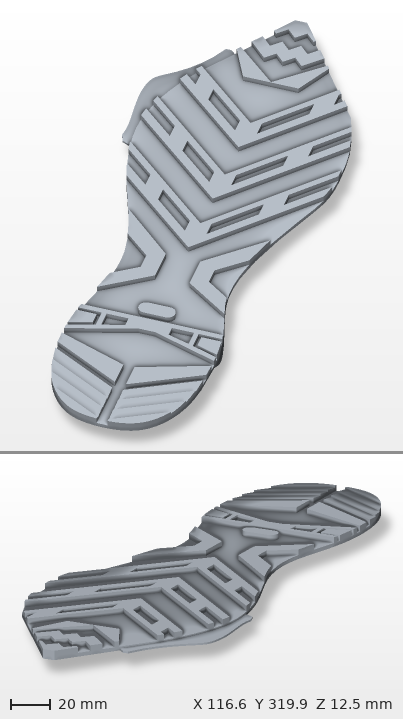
import cadquery as cq
import math


length = 319.94
total_height = 12.54
base_height = 2.0
tread_height = 3.0
top_height = base_height + tread_height
flange_height = 1.0
fin_depth = total_height - top_height

toe_half_width = 3.2
right_edge = [
    (45.8, 261.5), (51.3, 246.2), (54.1, 233.0), (54.95, 220.0), (54.2, 203.0), (46.8, 180.7),
    (35.7, 150.5), (30.1, 125.0), (30.5, 108.0), (35.0, 91.0), (38.8, 75.0), (39.6, 55.0),
    (37.9, 36.0), (32.5, 19.0), (19.0, 3.9),
]
heel_end = (0.0, 0.0)
left_edge = [
    (-18.5, 3.9), (-32.3, 18.5), (-38.4, 36.0), (-40.3, 58.0), (-38.0, 80.0), (-32.5, 103.0),
    (-30.4, 120.0), (-34.0, 145.0), (-43.5, 171.0), (-53.8, 208.0), (-54.8, 222.0),
    (-51.0, 243.0), (-44.2, 260.0), (-37.5, 271.5),
]

left_slope = 0.9
right_slope = 1.105
chevron_width = 19.4
chevron_apexes = [238.5, 197.1, 158.0]
window_start = 4.9
window_width = 8.1
window_inner_x = 5.6
window_outer_x = 26.0
side_window_x = 35.7

zigzag_centre_x = 0.8
zigzag_half_pitch = 5.0
zigzag_rise = 5.0
tip_edge_y = 307.2
bar_top_y = 297.4
bar_bottom_y = 287.8
toe_block_bottom = 271.0
toe_block_half_bottom = 14.8
toe_block_half_top = 24.6
toe_block_shoulder = 290.2
toe_notch_bottom = 271.3
toe_notch_slope = 0.9

band_inner_x = 9.2
band_outer_x = 18.2
band_inner_top = 130.2
band_inner_bottom = 113.0
band_outer_top = 126.1
band_outer_bottom = 116.9
band_inner_top_slope = 0.93
band_outer_top_slope = 0.9
band_bottom_slope = 0.7

pill_y = 88.3
pill_length = 19.6
pill_width = 8.0

bar_top = 80.6
bar_middle_bottom = 71.9
bar_flat_half = 4.5
bar_slope = 0.326
pocket_top = 77.6
pocket_inner_x = 11.6
pocket_outer_x = 23.3
pocket_inner_bottom = 72.2
pocket_outer_bottom = 68.8
corner_pocket_x = 25.9
corner_pocket_bottom = 68.0
corner_block_x = 27.9
corner_block_top = 75.7
corner_block_bottom = 69.2

heel_gap = 5.8
heel_slope = 0.54
heel_bar_top = 43.3
heel_bar_top_slope = 0.36
heel_bar_bottom = 29.5
strip_start_y = 25.0
strip_pitch = 7.85
strip_drop = 1.0
strip_count = 3

fin_front_y = 116.0
fin_lowest_y = 79.0
fin_back_y = 60.5
fin_inner_x = 29.9
fin_straight_end_y = 93.0

beyond = 80.0
groove_half_width = 70.0
end_margin = 40.0


def prism(points, bottom=base_height, top=top_height):
    """Upright prism over a closed polygon, tread-high unless told otherwise."""
    return cq.Workplane("XY").workplane(offset=bottom).polyline(points).close().extrude(top - bottom)


def mirrored(points):
    """The same polygon on the other side of the centre line."""
    return [(-x, y) for x, y in points]


def sole_prism(bottom, top):
    """The full sole outline as an upright prism."""
    return (
        cq.Workplane("XY")
        .workplane(offset=bottom)
        .moveTo(-toe_half_width, length)
        .lineTo(toe_half_width, length)
        .lineTo(*right_edge[0])
        .spline(right_edge[1:] + [heel_end] + left_edge, includeCurrent=True)
        .close()
        .extrude(top - bottom)
    )


def column(x_min, x_max):
    """Tread-high block over the whole length between two X positions."""
    low_y = -end_margin
    high_y = length + end_margin
    return prism([(x_min, low_y), (x_max, low_y), (x_max, high_y), (x_min, high_y)])


def chevron_band(upper_y, width):
    """V-shaped strip: apex on the centre line at upper_y, arms rising outwards."""
    lower_y = upper_y - width
    left_rise = beyond * left_slope
    right_rise = beyond * right_slope
    return prism([
        (0, upper_y),
        (beyond, upper_y + right_rise),
        (beyond, lower_y + right_rise),
        (0, lower_y),
        (-beyond, lower_y + left_rise),
        (-beyond, upper_y + left_rise),
    ])


def chevrons():
    """Three chevron bars, each with four windows; the outer two run out through the sole edge."""
    window_columns = (
        column(window_inner_x, window_outer_x)
        .union(column(-window_outer_x, -window_inner_x))
        .union(column(side_window_x, beyond))
        .union(column(-beyond, -side_window_x))
    )
    bars = cq.Workplane("XY")
    for apex_y in chevron_apexes:
        windows = chevron_band(apex_y - window_start, window_width).intersect(window_columns)
        bars = bars.union(chevron_band(apex_y, chevron_width).cut(windows))
    return bars


def zigzag(valley_y):
    """Three-valley zigzag edge, left to right, whose outer runs climb on to the sole edge."""
    points = []
    for step in range(-2, 3):
        x = zigzag_centre_x + step * zigzag_half_pitch
        points.append((x, valley_y + (step % 2) * zigzag_rise))
    run = beyond / 2
    climb = run * zigzag_rise / zigzag_half_pitch
    left_end = (points[0][0] - run, valley_y + climb)
    right_end = (points[-1][0] + run, valley_y + climb)
    return [left_end] + points + [right_end]


def toe_blocks():
    """Toe tip and zigzag bar, and below them a block with a wide V notch."""
    tip = prism(zigzag(tip_edge_y) + [(beyond, length + end_margin), (-beyond, length + end_margin)])
    zigzag_bar = prism(zigzag(bar_top_y) + zigzag(bar_bottom_y)[::-1])
    notch_end_y = toe_notch_bottom + toe_block_half_top * toe_notch_slope
    notched_block = prism([
        (-toe_block_half_bottom, toe_block_bottom),
        (toe_block_half_bottom, toe_block_bottom),
        (toe_block_half_top, toe_block_shoulder),
        (toe_block_half_top, notch_end_y),
        (0, toe_notch_bottom),
        (-toe_block_half_top, notch_end_y),
        (-toe_block_half_top, toe_block_shoulder),
    ])
    return tip.union(zigzag_bar).union(notched_block)


def waist_bands():
    """Bent bands hugging the waist on both sides."""
    inner_run = beyond - band_inner_x
    outer_run = beyond - band_outer_x
    band = [
        (band_inner_x, band_inner_top),
        (beyond, band_inner_top + band_inner_top_slope * inner_run),
        (beyond, band_outer_top + band_outer_top_slope * outer_run),
        (band_outer_x, band_outer_top),
        (band_outer_x, band_outer_bottom),
        (beyond, band_outer_bottom - band_bottom_slope * outer_run),
        (beyond, band_inner_bottom - band_bottom_slope * inner_run),
        (band_inner_x, band_inner_bottom),
    ]
    return prism(band).union(prism(mirrored(band)))


def pill():
    """Round-ended stud ahead of the cross bar."""
    return (
        cq.Workplane("XY")
        .workplane(offset=base_height)
        .center(0, pill_y)
        .slot2D(pill_length, pill_width)
        .extrude(tread_height)
    )


def bar_corner(inner_x, upper_y, lower_y):
    """Region from inner_x out past the sole edge, its lower side parallel to the cross bar's."""
    outer_y = lower_y - bar_slope * (beyond - inner_x)
    return [(inner_x, upper_y), (beyond, upper_y), (beyond, outer_y), (inner_x, lower_y)]


def cross_bar():
    """Bar ahead of the heel: on each side a plain pocket, then a corner pocket holding a block."""
    end_y = bar_middle_bottom - bar_slope * (beyond - bar_flat_half)
    bar = prism([
        (-beyond, bar_top),
        (beyond, bar_top),
        (beyond, end_y),
        (bar_flat_half, bar_middle_bottom),
        (-bar_flat_half, bar_middle_bottom),
        (-beyond, end_y),
    ])
    pocket = [
        (pocket_inner_x, pocket_top),
        (pocket_outer_x, pocket_top),
        (pocket_outer_x, pocket_outer_bottom),
        (pocket_inner_x, pocket_inner_bottom),
    ]
    corner_pocket = bar_corner(corner_pocket_x, pocket_top, corner_pocket_bottom)
    corner_block = bar_corner(corner_block_x, corner_block_top, corner_block_bottom)
    for outline in (pocket, corner_pocket):
        bar = bar.cut(prism(outline)).cut(prism(mirrored(outline)))
    return bar.union(prism(corner_block)).union(prism(mirrored(corner_block)))


def heel_blocks():
    """On each side a flat bar, then a field of saw-tooth strips that ends flat at the heel."""
    inner_x = heel_gap / 2
    run = beyond - inner_x
    flat_bar = prism([
        (inner_x, heel_bar_top),
        (beyond, heel_bar_top + heel_bar_top_slope * run),
        (beyond, heel_bar_bottom + heel_slope * run),
        (inner_x, heel_bar_bottom),
    ])
    field = prism([
        (inner_x, strip_start_y),
        (beyond, strip_start_y + heel_slope * run),
        (beyond, -beyond),
        (inner_x, -beyond),
    ])
    strip_width = strip_pitch * math.cos(math.atan(heel_slope))
    for number in range(strip_count):
        across_strip = cq.Plane(
            origin=(inner_x, strip_start_y - number * strip_pitch, top_height),
            xDir=(heel_slope, -1, 0),
            normal=(-1, -heel_slope, 0),
        )
        wedge = (
            cq.Workplane(across_strip)
            .polyline([(0, 0), (strip_width, 0), (strip_width, -strip_drop)])
            .close()
            .extrude(beyond, both=True)
        )
        field = field.cut(wedge)
    right_side = flat_bar.union(field)
    return right_side.union(right_side.mirror("YZ"))


def grooves():
    """Everything between the treads, from the base up and out past the outline."""
    space = column(-groove_half_width, groove_half_width)
    for tread in (chevrons(), toe_blocks(), waist_bands(), pill(), cross_bar(), heel_blocks()):
        space = space.cut(tread)
    return space


def flange():
    """Thin tab standing out beside the left forefoot; it closes through the inside of the sole."""
    notch = (-24.5, 289.2)
    front_inner = (-28.0, 292.4)
    front_outer = (-31.0, 292.4)
    outer_edge = [
        (-35.7, 283.6), (-43.0, 274.0), (-53.2, 264.9), (-58.6, 260.1), (-61.2, 252.0),
        (-61.4, 240.2), (-60.0, 227.0), (-60.3, 213.8),
    ]
    back_corner = (-58.6, 209.5)
    back_inner = (-54.2, 207.5)
    inside_sole = (-40.0, 230.0)
    return (
        cq.Workplane("XY")
        .moveTo(*notch)
        .lineTo(*front_inner)
        .lineTo(*front_outer)
        .spline(outer_edge, includeCurrent=True)
        .lineTo(*back_corner)
        .lineTo(*back_inner)
        .lineTo(*inside_sole)
        .close()
        .extrude(flange_height)
    )


def fin():
    """Curved fin hanging below the right edge of the waist, its outer face on the sole outline."""
    front_curve = [(103.5, -1.4), (94.0, -4.5), (fin_lowest_y, -fin_depth)]
    back_curve = [(69.5, -5.2), (fin_back_y, 0)]
    level = (-1, 0)
    back_rise = (-1, 0.6)
    side_profile = (
        cq.Workplane("YZ")
        .moveTo(fin_front_y, 0)
        .spline(front_curve, tangents=[level, level], includeCurrent=True)
        .spline(back_curve, tangents=[level, back_rise], includeCurrent=True)
        .close()
        .extrude(beyond)
    )
    clearance = 0.5
    past_front = fin_front_y + clearance
    past_back = fin_back_y - clearance
    inner_curve = [(31.7, 84.0), (35.5, 73.0), (39.8, past_back)]
    straight_back = (0, -1)
    swung_out = (1, -2)
    inner_side = (
        cq.Workplane("XY")
        .workplane(offset=-total_height)
        .moveTo(fin_inner_x, past_front)
        .lineTo(fin_inner_x, fin_straight_end_y)
        .spline(inner_curve, tangents=[straight_back, swung_out], includeCurrent=True)
        .lineTo(-clearance, past_back)
        .lineTo(-clearance, past_front)
        .close()
        .extrude(2 * total_height)
    )
    return side_profile.intersect(sole_prism(-total_height, total_height)).cut(inner_side)


result = sole_prism(0, top_height).cut(grooves()).union(flange()).union(fin())